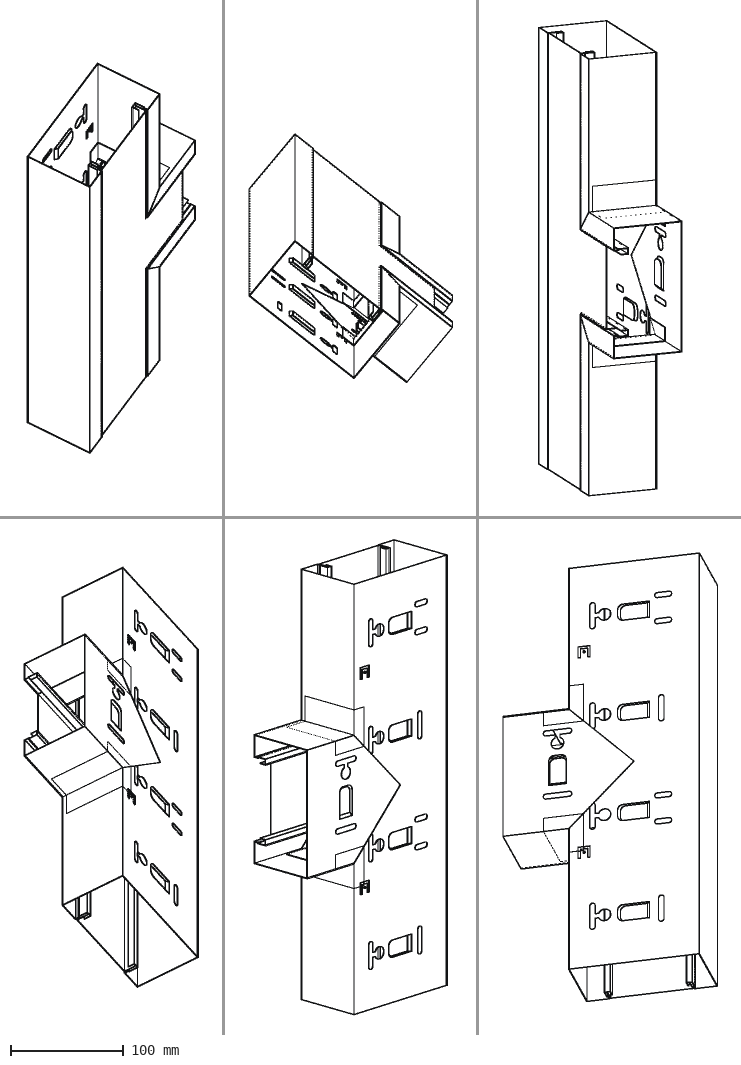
import cadquery as cq


width = 120.0
depth = 65.0
length = 400.0
branch_reach = 59.98
sheet = 0.8
branch_axis_z = length / 2
trunk_axis_y = width / 2
branch_end_y = width + branch_reach

rail_offset = 19.5
rail_width = 6.0
lip_width = rail_offset + 2 * sheet
rail_back_x = 51.0
rail_inner_lip_x = 58.0
rail_step_x = 60.8
rail_front_x = depth - sheet

cover_half_width = trunk_axis_y - lip_width - sheet
cover_front_x = depth - sheet
cover_flange_x = 53.0
cover_end_y = 160.0

bracket_leg = 23.0
bracket_flange = 13.0
bracket_front_x = 60.8

slot_width = 5.0
slot_length = 26.0
long_slot_at = 38.0
entry_hole_at = 27.0
entry_hole_diameter = 11.5
neck_width = 4.5
far_slot_at = -25.0
short_slot_length = 15.5
short_slot_at = -26.7
short_slot_offset = 13.0
tab_root_at = -14.3
tab_ramp_end_at = -11.8
tab_opening_end_at = 15.0
tab_opening_width = 16.0
tab_corner_radius = 5.0
tab_side_gap = 0.3
tab_end_gap = 2.0
tab_lift = 2.4
group_pitch = 100.0
group_z = [group_pitch * (i + 0.5) for i in range(4)]
branch_group_y = 130.0

tongue_center_y = 105.7
tongue_z = [115.0, 315.0]
tongue_size = 11.0
tongue_slit = 2.2
tongue_hole_diameter = 2.0


def box(x_range, y_range, z_range):
    """Axis-aligned block between the given limits."""
    sizes = [high - low for low, high in (x_range, y_range, z_range)]
    corner = (x_range[0], y_range[0], z_range[0])
    return cq.Workplane("XY").box(*sizes, centered=False).translate(corner)


def yz_prism(points, x_start, x_end):
    """Extrude a polygon of (y, z) points along X."""
    return cq.Workplane("YZ", origin=(x_start, 0, 0)).polyline(points).close().extrude(x_end - x_start)


def along_trunk(local, z=0.0):
    """Put a shape, built about a duct axis on Z, on the trunk axis."""
    return local.translate((0, trunk_axis_y, z))


def along_branch(local, y=0.0):
    """Turn a shape built about a Z duct axis so that it runs along +Y at the branch height."""
    turned = local.mirror("XY").rotate((0, 0, 0), (1, 0, 0), 90)
    return turned.translate((0, y, branch_axis_z))


mitre = yz_prism(
    [
        (width, branch_axis_z - trunk_axis_y),
        (trunk_axis_y, branch_axis_z),
        (width, branch_axis_z + trunk_axis_y),
    ],
    0,
    depth,
)
branch_zone = mitre.union(
    box(
        (0, depth),
        (width, branch_end_y),
        (branch_axis_z - trunk_axis_y, branch_axis_z + trunk_axis_y),
    )
)


def duct(run):
    """Back, side walls and front lips of a duct of the given length, centred on Y = 0."""
    half = width / 2
    shell = box((0, depth), (-half, half), (0, run))
    hollow = box((sheet, depth - sheet), (sheet - half, half - sheet), (0, run))
    opening_half = half - lip_width
    opening = box((depth - sheet, depth), (-opening_half, opening_half), (0, run))
    return shell.cut(hollow).cut(opening)


def rail(run):
    """Hooked rail behind the front lip on the +Y side of a duct centred on Y = 0."""
    outer = width / 2 - rail_offset
    inner = outer - rail_width
    profile = [
        (rail_front_x, outer - sheet),
        (rail_step_x, outer - sheet),
        (rail_step_x, outer),
        (rail_back_x, outer),
        (rail_back_x, inner),
        (rail_inner_lip_x, inner),
        (rail_inner_lip_x, inner + sheet),
        (rail_back_x + sheet, inner + sheet),
        (rail_back_x + sheet, outer - sheet),
        (rail_step_x - sheet, outer - sheet),
        (rail_step_x - sheet, outer - 2 * sheet),
        (rail_front_x, outer - 2 * sheet),
    ]
    return cq.Workplane("XY").polyline(profile).close().extrude(run)


def back_slot(across, along, size_across, size_along):
    """Round-ended slot through the back, cut in a duct centred on Y = 0."""
    vertical = size_along > size_across
    angle = 90 if vertical else 0
    slot_size = (max(size_across, size_along), min(size_across, size_along))
    return cq.Workplane("YZ").center(across, along).slot2D(*slot_size, angle).extrude(sheet)


def tab_outline(end, outline_width, height):
    """Plate with a square root and two rounded corners at its free end."""
    half_width = outline_width / 2
    plate = box((0, height), (tab_root_at, end), (-half_width, half_width))
    return plate.edges("|X and >Y").fillet(tab_corner_radius)


def group_openings(paired_slots):
    """Keyhole, tab opening and far slots of one mounting group, about the origin."""
    cuts = back_slot(long_slot_at, 0, slot_width, slot_length)
    entry_hole = cq.Workplane("YZ").center(entry_hole_at, 0).circle(entry_hole_diameter / 2).extrude(sheet)
    neck = box((0, sheet), (entry_hole_at, long_slot_at), (-neck_width / 2, neck_width / 2))
    tab_opening = tab_outline(tab_opening_end_at, tab_opening_width, sheet)
    cuts = cuts.union(entry_hole).union(neck).union(tab_opening)
    if paired_slots:
        for side in (-1, 1):
            cuts = cuts.union(
                back_slot(short_slot_at, side * short_slot_offset, short_slot_length, slot_width)
            )
    else:
        cuts = cuts.union(back_slot(far_slot_at, 0, slot_width, slot_length))
    return cuts


def group_tab():
    """Tongue bent up from the back at its root, standing off inside the duct."""
    free_end = tab_opening_end_at - tab_end_gap
    tab_width = tab_opening_width - 2 * tab_side_gap
    side_profile = [
        (0, tab_root_at),
        (tab_lift, tab_ramp_end_at),
        (tab_lift, free_end),
        (tab_lift + sheet, free_end),
        (tab_lift + sheet, tab_ramp_end_at),
        (sheet, tab_root_at),
    ]
    bent = cq.Workplane("XY").polyline(side_profile).close().extrude(tab_width / 2, both=True)
    return bent.intersect(tab_outline(free_end, tab_width, tab_lift + sheet))


def tongue_openings(z):
    """Three-sided slit that frees an earthing tongue, and the hole in the tongue."""
    half = tongue_size / 2
    frame = box((0, sheet), (tongue_center_y - half, tongue_center_y + half), (z - half, z + half))
    inner_half = half - tongue_slit
    tongue = box(
        (0, sheet),
        (tongue_center_y - inner_half, tongue_center_y + inner_half),
        (z - half, z + inner_half),
    )
    hole = cq.Workplane("YZ").center(tongue_center_y, z).circle(tongue_hole_diameter / 2).extrude(sheet)
    return frame.cut(tongue).union(hole)


def make_trunk_base():
    """Trunk duct with its mitred opening, four mounting groups and two earthing tongues."""
    base = along_trunk(duct(length)).cut(mitre)
    for index, z in enumerate(group_z):
        paired = index % 2 == 1
        base = base.cut(along_trunk(group_openings(paired), z))
        base = base.union(along_trunk(group_tab(), z))
    for z in tongue_z:
        base = base.cut(tongue_openings(z))
    return base


def make_branch_base():
    """Branch duct with its mitred end and one mounting group."""
    base = along_branch(duct(branch_end_y)).intersect(branch_zone)
    base = base.cut(along_branch(group_openings(False), branch_group_y))
    return base.union(along_branch(group_tab(), branch_group_y))


def tee_block(half, x_start, x_end, overrun=0.0):
    """Tee-shaped block of the given half width, with its ends moved outward by the overrun."""
    trunk_part = box(
        (x_start, x_end),
        (trunk_axis_y - half, trunk_axis_y + half),
        (-overrun, length + overrun),
    )
    branch_part = box(
        (x_start, x_end),
        (trunk_axis_y, cover_end_y + overrun),
        (branch_axis_z - half, branch_axis_z + half),
    )
    return trunk_part.union(branch_part)


def make_cover():
    """Tee-shaped plate with a flange along each long edge and open ends."""
    block = tee_block(cover_half_width, cover_flange_x, cover_front_x)
    hollow = tee_block(cover_half_width - sheet, cover_flange_x, cover_front_x - sheet, overrun=sheet)
    return block.cut(hollow)


def make_upper_bracket():
    """Angle inside the upper tee corner, with a flange lying on the back of the ducts."""
    wall_y = width - sheet
    wall_z = branch_axis_z + width / 2 - sheet
    end_y = width + bracket_leg
    end_z = branch_axis_z + width / 2 + bracket_leg

    def angle(thickness, x_end):
        points = [
            (wall_y, end_z),
            (wall_y, wall_z),
            (end_y, wall_z),
            (end_y, wall_z - thickness),
            (wall_y - thickness, wall_z - thickness),
            (wall_y - thickness, end_z),
        ]
        return yz_prism(points, sheet, x_end)

    return angle(sheet, bracket_front_x).union(angle(bracket_flange, 2 * sheet))


def mirror_about_branch(shape):
    """Copy a shape to the other side of the branch axis."""
    return shape.mirror("XY", (0, 0, branch_axis_z))


trunk_base = make_trunk_base()
branch_base = make_branch_base()
cover = make_cover()

near_rail = along_trunk(rail(length).mirror("XZ"))
upper_half = box((0, depth), (0, width), (branch_axis_z, length))
upper_trunk_rail = along_trunk(rail(length)).cut(mitre).intersect(upper_half)
upper_branch_rail = along_branch(rail(branch_end_y)).intersect(branch_zone)
upper_bracket = make_upper_bracket()

bodies = [trunk_base, branch_base, cover, near_rail]
for upper_body in (upper_trunk_rail, upper_branch_rail, upper_bracket):
    bodies += [upper_body, mirror_about_branch(upper_body)]

result = cq.Compound.makeCompound([body.solids().val() for body in bodies])